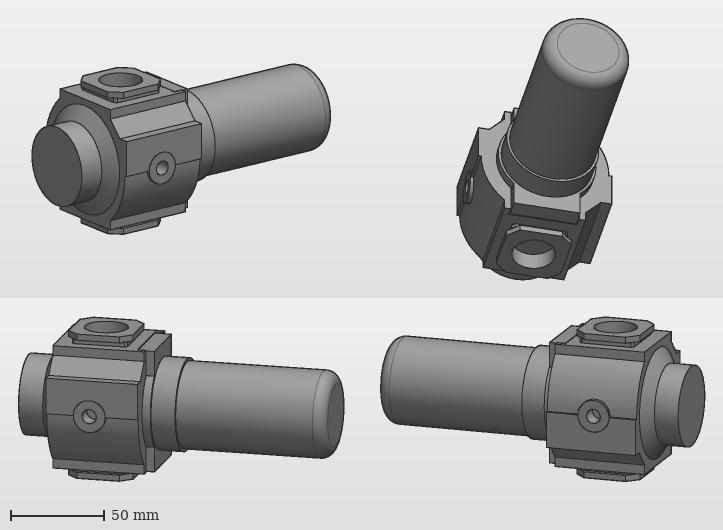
import cadquery as cq
import math

total_length = 169.6
nose_length = 13.4
housing_front = 19.0
housing_back = 69.5
slot_depth = 4.5
flange_back = 74.1
collar_back = 87.3

housing_half_height = 34.0
flat_half_width = 22.2
flat_edge_height = 28.7
ledge_half_width = 36.6
side_half_width = 35.1
ledge_inner_width = 30.7
ledge_depth = 19.7

cone_radius = 30.4
nose_radius = 22.0

port_y = 42.9
port_half_height = 40.0
port_plate_width = 35.6
port_plate_thickness = 3.4
port_plate_chamfer = 6.1
port_neck_width = 30.5
port_neck_chamfer = 1.4
port_hole_radius = 11.7
port_hole_depth = 9.8

boss_span = 73.5
boss_half_span = boss_span / 2
boss_radius = 8.8
boss_hole_radius = 3.9
boss_hole_depth = 10.2
boss_root = 25.5

bowl_radius = 23.7
bowl_end_fillet = 6.8
collar_radius = 25.3
flange_radius = 26.8
tongue_width = 36.3
tongue_height = 66.8
slot_width = 37.5


def cylinder_along_y(radius, y_start, y_end):
    """Solid cylinder on the main axis between two Y positions."""
    return cq.Workplane("XZ", origin=(0, y_start, 0)).circle(radius).extrude(y_start - y_end)


def box_along_y(width, height, y_start, y_end):
    """Box centred on the main axis between two Y positions."""
    return cq.Workplane("XZ", origin=(0, y_start, 0)).rect(width, height).extrude(y_start - y_end)


def half_turn(body):
    """Copy of a body turned half a turn about the main axis."""
    return body.rotate((0, 0, 0), (0, 1, 0), 180)


def make_housing_block():
    """Prism with top and bottom flats, two rounded quarters and two ledged quarters."""
    arc_width = side_half_width - flat_half_width
    arc_radius = (arc_width**2 + flat_edge_height**2) / (2 * arc_width)
    half_angle = math.asin(flat_edge_height / arc_radius) / 2
    arc_x = side_half_width - arc_radius * (1 - math.cos(half_angle))
    arc_z = arc_radius * math.sin(half_angle)
    return (
        cq.Workplane("XZ", origin=(0, housing_front, 0))
        .moveTo(-flat_half_width, housing_half_height)
        .lineTo(flat_half_width, housing_half_height)
        .lineTo(flat_half_width, flat_edge_height)
        .lineTo(ledge_inner_width, ledge_depth)
        .lineTo(ledge_half_width, ledge_depth)
        .lineTo(ledge_half_width, 0)
        .lineTo(side_half_width, 0)
        .threePointArc((arc_x, -arc_z), (flat_half_width, -flat_edge_height))
        .lineTo(flat_half_width, -housing_half_height)
        .lineTo(-flat_half_width, -housing_half_height)
        .lineTo(-flat_half_width, -flat_edge_height)
        .lineTo(-ledge_inner_width, -ledge_depth)
        .lineTo(-ledge_half_width, -ledge_depth)
        .lineTo(-ledge_half_width, 0)
        .lineTo(-side_half_width, 0)
        .threePointArc((-arc_x, arc_z), (-flat_half_width, flat_edge_height))
        .close()
        .extrude(housing_front - housing_back)
    )


def make_nose():
    """Cone narrowing from the housing front to the cylindrical nose."""
    return (
        cq.Workplane("XY")
        .lineTo(nose_radius, 0)
        .lineTo(nose_radius, nose_length)
        .lineTo(cone_radius, housing_front)
        .lineTo(0, housing_front)
        .close()
        .revolve(360, (0, 0, 0), (0, 1, 0))
    )


def make_port():
    """Top port: chamfered square neck carrying a wider chamfered square plate."""
    plate_bottom = port_half_height - port_plate_thickness
    neck = (
        cq.Workplane("XY", origin=(0, port_y, housing_half_height))
        .rect(port_neck_width, port_neck_width)
        .extrude(plate_bottom - housing_half_height)
        .edges("|Z")
        .chamfer(port_neck_chamfer)
    )
    plate = (
        cq.Workplane("XY", origin=(0, port_y, plate_bottom))
        .rect(port_plate_width, port_plate_width)
        .extrude(port_plate_thickness)
        .edges("|Z")
        .chamfer(port_plate_chamfer)
    )
    return neck.union(plate)


def make_port_hole():
    """Blind round hole going down into the top port."""
    return (
        cq.Workplane("XY", origin=(0, port_y, port_half_height))
        .circle(port_hole_radius)
        .extrude(-port_hole_depth)
    )


def make_side_boss():
    """Round boss on the +X side, standing slightly proud of the ledge."""
    return (
        cq.Workplane("YZ", origin=(boss_root, port_y, 0))
        .circle(boss_radius)
        .extrude(boss_half_span - boss_root)
    )


def make_side_hole():
    """Blind round hole in the middle of the +X boss."""
    return (
        cq.Workplane("YZ", origin=(boss_half_span, port_y, 0))
        .circle(boss_hole_radius)
        .extrude(-boss_hole_depth)
    )


def make_housing():
    """Housing with nose, two ports, two side bosses and a slot across its back face."""
    housing = make_housing_block().union(make_nose())
    for addition in (make_port(), make_side_boss()):
        housing = housing.union(addition).union(half_turn(addition))
    for hole in (make_port_hole(), make_side_hole()):
        housing = housing.cut(hole).cut(half_turn(hole))
    slot = box_along_y(slot_width, 2 * housing_half_height, housing_back - slot_depth, housing_back)
    return housing.cut(slot)


def make_bowl():
    """Round-ended bowl with a stepped collar and a tongue that sits in the housing slot."""
    bowl = cylinder_along_y(bowl_radius, collar_back, total_length)
    bowl = bowl.faces(">Y").edges().fillet(bowl_end_fillet)
    collar = cylinder_along_y(collar_radius, flange_back, collar_back)
    flange = cylinder_along_y(flange_radius, housing_back, flange_back)
    tongue = box_along_y(tongue_width, tongue_height, housing_back - slot_depth, flange_back)
    return bowl.union(collar).union(flange).union(tongue)


housing = make_housing()
bowl = make_bowl()

result = cq.Compound.makeCompound([housing.val(), bowl.val()])